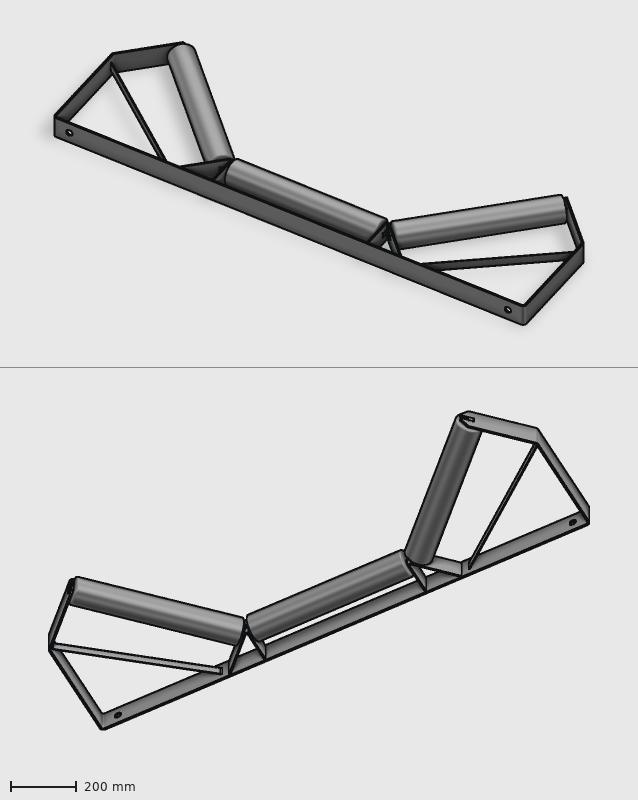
import cadquery as cq
import math


frame_length = 1680.0
strip_width = 75.0
sheet = 6.0
bend_inner_radius = 7.0
bend_outer_radius = bend_inner_radius + sheet
wall_height = 346.0
arm_tip_height = 519.0
arm_tip_chamfer = 25.0
mount_hole_diameter = 22.0
mount_hole_inset = 59.0

trough_angle = 45.0
roller_diameter = 89.0
roller_length = 531.0
roller_edge_radius = 5.0
roller_gap = 7.0
shaft_diameter = 20.0
shaft_flat_width = 15.0
centre_axis_height = 105.0
side_axis_foot = 195.0

bracket_width = 67.0
bracket_top = 121.0
bracket_sheet = 5.0

brace_width = 30.0
brace_sheet = 3.0
brace_top = 331.0
brace_foot = 423.0

half_length = frame_length / 2
inner_half_length = half_length - sheet
diagonal = math.sqrt(2)
shaft_end = roller_length / 2 + roller_gap + sheet

frame_arm_sum = half_length + wall_height
side_middle_sum = frame_arm_sum - shaft_end * diagonal
bracket_far_sum = frame_arm_sum - 2 * shaft_end * diagonal
bracket_near_sum = bracket_far_sum + bracket_sheet * diagonal
side_middle_x = (side_middle_sum + side_axis_foot) / 2
side_middle_y = (side_middle_sum - side_axis_foot) / 2


def extrude_about_middle(points, width):
    """Extrude a closed XY outline to a width centred on Z = 0."""
    return cq.Workplane("XY", origin=(0, 0, -width / 2)).polyline(points).close().extrude(width)


def mirror_x(body):
    """Mirror a body across the middle plane X = 0."""
    return body.mirror("YZ")


def place_centre(body):
    """Move a body built along X at the origin onto the centre roller's axis."""
    return body.translate((0, centre_axis_height, 0))


def place_left(body):
    """Move a body built along X at the origin onto the left side roller's axis."""
    turned = body.rotate((0, 0, 0), (0, 0, 1), -trough_angle)
    return turned.translate((-side_middle_x, side_middle_y, 0))


def place_right(body):
    """Move a body built along X at the origin onto the right side roller's axis."""
    return mirror_x(place_left(body))


def make_roller():
    """Roller with rounded ends on a shaft with two flats, along X and centred at the origin."""
    barrel = (
        cq.Workplane("YZ", origin=(-roller_length / 2, 0, 0))
        .circle(roller_diameter / 2)
        .extrude(roller_length)
        .faces("<X or >X")
        .edges()
        .fillet(roller_edge_radius)
    )
    rod = cq.Workplane("YZ", origin=(-shaft_end, 0, 0)).circle(shaft_diameter / 2).extrude(2 * shaft_end)
    flats = cq.Workplane("XY").box(2 * shaft_end, shaft_diameter, shaft_flat_width)
    return barrel.union(rod.intersect(flats))


def make_shaft_slots():
    """Cutters for the two slots under a roller's shaft ends, open toward +Y."""
    slot_height = roller_diameter
    slot_middle = (slot_height - shaft_diameter) / 2
    slot = cq.Workplane("XY").box(2 * sheet, slot_height, shaft_flat_width)
    left_slot = slot.translate((-(shaft_end - sheet / 2), slot_middle, 0))
    return left_slot.union(mirror_x(left_slot))


def make_frame():
    """Base, two upright walls and two sloping arms bent from one strip."""
    arm_run = arm_tip_height - wall_height
    tip_step = sheet / diagonal
    inner_bend_height = wall_height - sheet * math.tan(math.radians(trough_angle / 2))
    left = [
        (-inner_half_length, sheet),
        (-inner_half_length, inner_bend_height),
        (-half_length + arm_run + tip_step, arm_tip_height - tip_step),
        (-half_length + arm_run, arm_tip_height),
        (-half_length, wall_height),
        (-half_length, 0),
    ]
    right = [(-x, y) for x, y in reversed(left)]
    frame = extrude_about_middle(left + right, strip_width)

    wall_middle = half_length - sheet / 2
    outer_bends = frame.edges("|Z").filter(lambda edge: abs(edge.Center().x) > wall_middle)
    frame = outer_bends.fillet(bend_outer_radius)
    inner_bends = [
        (side * inner_half_length, height, 0) for side in (-1, 1) for height in (sheet, inner_bend_height)
    ]
    for bend in inner_bends:
        frame = frame.edges("|Z").edges(cq.selectors.NearestToPointSelector(bend)).fillet(bend_inner_radius)

    tips = frame.edges("not |Z").filter(
        lambda edge: edge.Length() < 2 * sheet and edge.Center().y > arm_tip_height - sheet
    )
    return tips.chamfer(arm_tip_chamfer)


def cut_mount_holes(frame):
    """Cut a bolt hole through the base near each end."""
    hole_places = [(side * (half_length - mount_hole_inset), 0) for side in (-1, 1)]
    holes = cq.Workplane("XZ").pushPoints(hole_places).circle(mount_hole_diameter / 2).extrude(-2 * sheet)
    return frame.cut(holes)


def make_left_bracket():
    """Bent strip that carries the inner end of the left roller and the left end of the centre roller."""
    plate_inner = shaft_end - bracket_sheet
    top_underside = bracket_top - bracket_sheet
    outline = [
        (sheet - bracket_near_sum, sheet),
        (bracket_top - bracket_near_sum, bracket_top),
        (-plate_inner, bracket_top),
        (-plate_inner, sheet),
        (-shaft_end, sheet),
        (-shaft_end, top_underside),
        (top_underside - bracket_far_sum, top_underside),
        (sheet - bracket_far_sum, sheet),
    ]
    return extrude_about_middle(outline, bracket_width)


def make_left_brace():
    """Narrow strip from the upright wall down to the base."""
    slope = math.atan2(brace_top - sheet, inner_half_length - brace_foot)
    wall_cut = brace_sheet / math.cos(slope)
    base_cut = brace_sheet / math.sin(slope)
    outline = [
        (-inner_half_length, brace_top),
        (-brace_foot, sheet),
        (-brace_foot - base_cut, sheet),
        (-inner_half_length, brace_top - wall_cut),
    ]
    return extrude_about_middle(outline, brace_width)


placements = (place_left, place_centre, place_right)

frame = cut_mount_holes(make_frame())
left_bracket = make_left_bracket()
shaft_slots = make_shaft_slots()
for place in (place_left, place_right):
    frame = frame.cut(place(shaft_slots))
for place in (place_left, place_centre):
    left_bracket = left_bracket.cut(place(shaft_slots))

left_brace = make_left_brace()
brackets = [left_bracket, mirror_x(left_bracket)]
braces = [left_brace, mirror_x(left_brace)]
rollers = [place(make_roller()) for place in placements]

bodies = [frame, *brackets, *braces, *rollers]
result = cq.Compound.makeCompound([body.solids().val() for body in bodies])